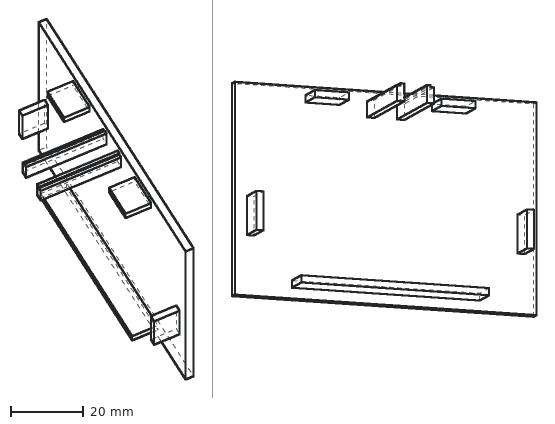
import cadquery as cq

plate_width = 88.5
plate_height = 60.0
total_depth = 27.5
plate_thickness = 2.5

tab_depth = 8.0
tab_thickness = 2.0
top_margin = 2.5

top_tab_width = 10.0
top_tab_inner_x = 13.5

side_tab_height = 11.0
side_tab_margin = 3.5
side_tab_bottom = 17.0

rail_width = 55.05
rail_bottom = 3.0

guide_length = total_depth - plate_thickness
guide_width = 2.1
guide_height = 5.05
guide_gap = 6.6
guide_step_width = guide_width / 2
guide_step_depth = 0.5


def front_block(x_min, z_min, width, height, depth):
    """Block standing on the plate's front face, reaching toward -Y."""
    return cq.Workplane("XY").box(width, depth, height, centered=False).translate((x_min, -depth, z_min))


def mirrored_pair(block):
    """The block together with its mirror image across the YZ plane."""
    return block.union(block.mirror("YZ"))


def make_plate():
    return (
        cq.Workplane("XY")
        .box(plate_width, plate_thickness, plate_height, centered=(True, False, False))
    )


def make_guide():
    top = plate_height - top_margin
    inner_x = guide_gap / 2
    outer_x = inner_x + guide_width
    return (
        cq.Workplane("XZ")
        .moveTo(inner_x, top - guide_height)
        .lineTo(outer_x, top - guide_height)
        .lineTo(outer_x, top - guide_step_depth)
        .lineTo(outer_x - guide_step_width, top - guide_step_depth)
        .lineTo(outer_x - guide_step_width, top)
        .lineTo(inner_x, top)
        .close()
        .extrude(guide_length)
    )


top_tab = front_block(
    top_tab_inner_x, plate_height - top_margin - tab_thickness, top_tab_width, tab_thickness, tab_depth
)
side_tab = front_block(
    plate_width / 2 - side_tab_margin - tab_thickness,
    side_tab_bottom,
    tab_thickness,
    side_tab_height,
    tab_depth,
)
bottom_rail = front_block(-rail_width / 2, rail_bottom, rail_width, tab_thickness, tab_depth)

result = make_plate().union(bottom_rail)
for feature in (top_tab, side_tab, make_guide()):
    result = result.union(mirrored_pair(feature))